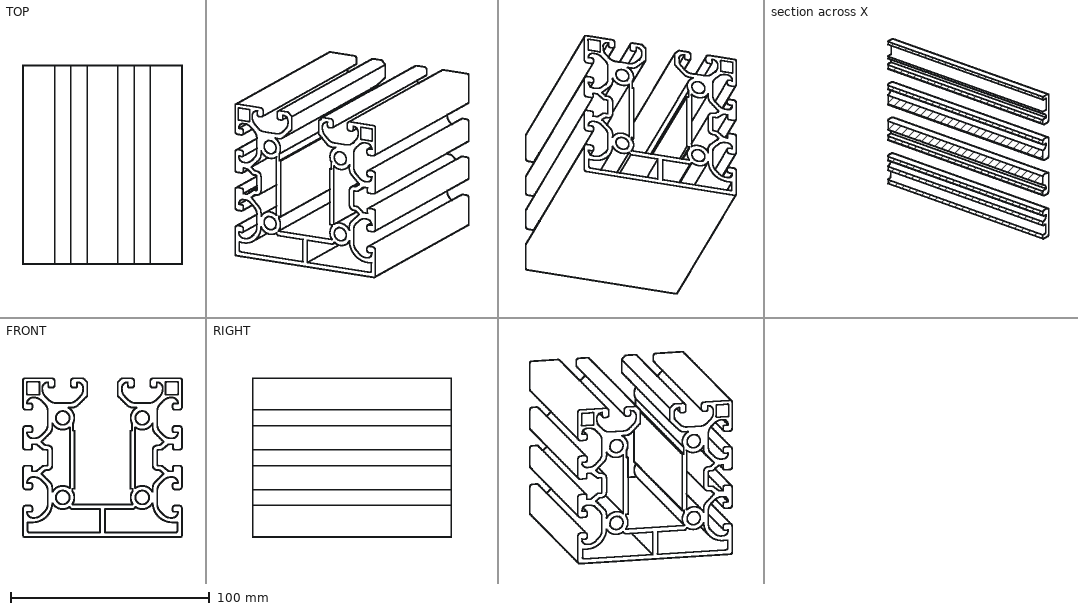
import cadquery as cq
import math

length = 100.0
width = 80.0
half = width / 2
slot_pitch = 20.0
wall = 2.4
corner_round = 1.0

cut_overrun = 1.0
slot_half_opening = 4.0
lip_width = 3.3
lip_depth = 4.8
lip_mouth_round = 1.5
lip_inner_round = 1.3
lip_back_round = 1.0
lip_thickness = 2.1
slot_half_width = 10.2
slot_depth = 12.4
slot_shoulder = 7.7
hook_round = 2.8
shoulder_round = 5.0
floor_round = 4.8

hook_wall = 2.2
channel_half_width = slot_half_width + hook_wall
channel_depth = slot_depth + wall
channel_bevel = 21.3
channel_bevel_round = 4.0
hook_chamfer = 2.1
hook_chamfer_round = 0.8
bevel_edge_round = 0.8
base_channel_half_width = slot_half_width + wall
base_channel_round = 10.0

box_inner_start = 1.9
box_inner_end = 8.3
box_round = 0.4

boss_radius = 5.9
bore_diameter = 6.8

foot_thickness = 4.6
foot_end = 4.0
foot_outer_round = 1.2
foot_inner_round = 0.8
foot_back = 6.7
arm_tip_depth = 6.8
arm_outer_depth = 10.1
arm_round = 1.2
arm_apex = (9.3, 8.0)
arm_inner = (11.2, 6.3)
elbow_inner_round = 0.5
elbow_outer_round = 2.5

inner_wall_face = -14.0
inner_wall_top = 13.6
inner_wall_bottom = -15.7
upper_relief = 0.8
lower_relief = 1.2
floor_top = -23.5
floor_start = -15.6
floor_slant = 1.0
rib_width = 2.6
base_inner_round = 0.9


def rounded_outline(points):
    """Extrude a closed outline of (x, z, radius) corners along the full length."""
    count = len(points)
    path = []
    for i, (x, z, radius) in enumerate(points):
        if radius == 0:
            path.append([(x, z)])
            continue
        corner = cq.Vector(x, z)
        before = (cq.Vector(*points[i - 1][:2]) - corner).normalized()
        after = (cq.Vector(*points[(i + 1) % count][:2]) - corner).normalized()
        half_angle = before.getAngle(after) / 2
        setback = radius / math.tan(half_angle)
        middle_distance = radius / math.sin(half_angle) - radius
        middle = corner + (before + after).normalized() * middle_distance
        arc = [corner + before * setback, middle, corner + after * setback]
        path.append([(p.x, p.y) for p in arc])
    sketch = cq.Workplane("XZ").moveTo(*path[0][-1])
    for piece in path[1:]:
        sketch = sketch.lineTo(*piece[0])
        if len(piece) == 3:
            sketch = sketch.threePointArc(piece[1], piece[2])
    if len(path[0]) == 3:
        sketch = sketch.lineTo(*path[0][0]).threePointArc(path[0][1], path[0][2])
    return sketch.close().extrude(length / 2, both=True)


def block(x_start, x_end, z_start, z_end, radius=0):
    corners = [(x_start, z_start), (x_end, z_start), (x_end, z_end), (x_start, z_end)]
    return rounded_outline([(x, z, radius) for x, z in corners])


def cylinder(x, z, radius):
    return cq.Workplane("XZ").center(x, z).circle(radius).extrude(length / 2, both=True)


def top_face(points):
    """Place (across, deep, radius) corners on the top slot."""
    return [(-slot_pitch + across, half - deep, radius) for across, deep, radius in points]


def side_face(points, centre, direction):
    """Place (across, deep, radius) corners on a slot of the -X side."""
    return [(-half + deep, centre + direction * across, radius) for across, deep, radius in points]


def cavity():
    lip_back = slot_half_opening + lip_width
    floor_half = slot_half_width + slot_shoulder - slot_depth
    right = [
        (lip_back, -cut_overrun, 0),
        (lip_back, 0, 0),
        (slot_half_opening, 0, lip_mouth_round),
        (slot_half_opening, lip_depth, lip_inner_round),
        (lip_back, lip_depth, lip_back_round),
        (lip_back, lip_thickness, 0),
        (slot_half_width, lip_thickness, hook_round),
        (slot_half_width, slot_shoulder, shoulder_round),
        (floor_half, slot_depth, floor_round),
    ]
    left = [(-across, deep, radius) for across, deep, radius in reversed(right)]
    return right + left


def channel_half():
    return [
        (0, 0, 0),
        (channel_half_width - hook_chamfer, 0, hook_chamfer_round),
        (channel_half_width, hook_chamfer, 0),
        (channel_half_width, channel_bevel - channel_half_width, bevel_edge_round),
        (channel_bevel - channel_depth, channel_depth, channel_bevel_round),
        (0, channel_depth, 0),
    ]


def base_channel_half():
    return [
        (0, 0, 0),
        (base_channel_half_width, 0, 0),
        (base_channel_half_width, channel_depth, base_channel_round),
        (0, channel_depth, 0),
    ]


def corner_box():
    """Corner block that carries the box and joins both slots to the boss."""
    outer = rounded_outline([
        (-half, half, corner_round),
        (-slot_pitch, half, 0),
        (-slot_pitch, slot_pitch, 0),
        (-half, slot_pitch, 0),
    ])
    pocket = block(
        -half + box_inner_start,
        -half + box_inner_end,
        half - box_inner_end,
        half - box_inner_start,
        box_round,
    )
    return outer.cut(pocket)


def side_foot(direction):
    """Foot beside the middle opening with the arm and half of the middle side wall."""
    outer_face = slot_depth
    inner_face = channel_depth
    foot = [
        (0, slot_pitch, 0),
        (0, foot_end, foot_outer_round),
        (foot_thickness, foot_end, foot_inner_round),
        (foot_thickness, foot_back, 0),
        (arm_tip_depth, foot_back, arm_round),
        (arm_outer_depth, foot_end, arm_round),
        (outer_face, foot_end, elbow_inner_round),
        (outer_face, 0, 0),
        (inner_face, 0, 0),
        (inner_face, arm_inner[1], elbow_outer_round),
        (*arm_inner, arm_round),
        (*arm_apex, 0),
        (inner_face, arm_apex[1] + inner_face - arm_apex[0], channel_bevel_round),
        (inner_face, slot_pitch, 0),
    ]
    return rounded_outline([(-half + deep, direction * z, radius) for deep, z, radius in foot])


def inner_wall():
    back = inner_wall_face - wall
    lower = block(back, inner_wall_face, inner_wall_bottom, inner_wall_top)
    upper = block(back, inner_wall_face - upper_relief, inner_wall_top, slot_pitch)
    foot = block(back, inner_wall_face - lower_relief, -slot_pitch, inner_wall_bottom)
    return lower.union(upper).union(foot)


def base():
    floor_bottom = floor_top - wall
    floor = rounded_outline([
        (0, floor_bottom, 0),
        (floor_start, floor_bottom, 0),
        (floor_start - floor_slant, floor_bottom + floor_slant, 0),
        (floor_start, floor_top, 0),
        (0, floor_top, 0),
    ])
    rib = block(-rib_width / 2, 0, -half, floor_top)
    shell = rounded_outline([
        (-half, -slot_pitch - slot_half_opening, 0),
        (-half, -half, corner_round),
        (0, -half, 0),
        (0, -half + wall, 0),
        (-half + wall, -half + wall, base_inner_round),
        (-half + wall, -slot_pitch - slot_half_opening, 0),
    ])
    return floor.union(rib).union(shell)


body = corner_box()
body = body.union(rounded_outline(top_face(channel_half())))
body = body.union(rounded_outline(side_face(base_channel_half(), -slot_pitch, -1)))
for direction in (1, -1):
    body = body.union(side_foot(direction))
    body = body.union(cylinder(-slot_pitch, direction * slot_pitch, boss_radius))
body = body.union(inner_wall()).union(base())

body = body.cut(rounded_outline(top_face(cavity())))
for direction in (1, -1):
    body = body.cut(rounded_outline(side_face(cavity(), direction * slot_pitch, 1)))
    body = body.cut(cylinder(-slot_pitch, direction * slot_pitch, bore_diameter / 2))

result = body.union(body.mirror("YZ")).clean()